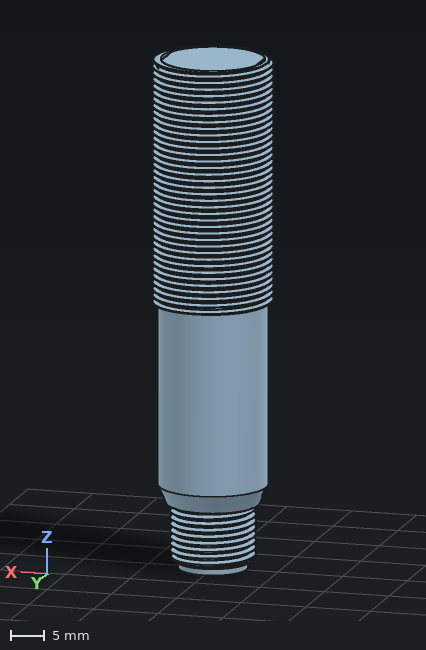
import cadquery as cq
import math

total_height = 77.83

body_radius = 8.25
shoulder_top = 12.8
shoulder_bottom = 9.95
shoulder_end_radius = 7.0

neck_radius = 6.2
neck_bottom = 9.6
stub_root_radius = 5.6
stub_crest_radius = 6.4
stub_chamfer_radius = 5.5
tip_radius = 5.2
tip_height = 1.05

pitch = 1.0
body_crest_width = 0.12
stub_crest_width = 0.03
root_width = 0.9
thread_embed = 0.1
thread_overrun = 4.0
envelope_margin = 0.5
body_thread_bottom = 40.7
body_thread_root_radius = 8.3
body_thread_crest_radius = 9.0
body_crest_below_top = 0.2
stub_crest_height = 8.65

lens_radius = 7.75
lens_recess = 0.1
lens_flat_distance = 7.2
lens_flat_depth = 0.5

adjuster_diameter = 3.3
adjuster_height = 17.75
adjuster_angle = -24.0
adjuster_depth = 2.0

indicator_diameter = 1.0
indicator_height = 11.95
indicator_floor_x = 7.3


def cylinder(radius, bottom, top):
    return cq.Workplane("XY").workplane(offset=bottom).circle(radius).extrude(top - bottom)


def helical_ridge(root_radius, crest_radius, crest_width, start, turns):
    """Trapezoidal ridge whose crest starts on the +X side at height `start`."""
    inner_radius = root_radius - thread_embed
    flank_slope = (root_width - crest_width) / (crest_radius - root_radius)
    inner_width = root_width + flank_slope * thread_embed
    corners = [
        (inner_radius, -inner_width / 2),
        (crest_radius, -crest_width / 2),
        (crest_radius, crest_width / 2),
        (inner_radius, inner_width / 2),
    ]
    helices = [
        cq.Wire.makeHelix(pitch, turns * pitch, radius, cq.Vector(0, 0, start + rise))
        for radius, rise in corners
    ]
    faces = [
        cq.Face.makeRuledSurface(helices[i], helices[(i + 1) % len(helices)])
        for i in range(len(helices))
    ]
    for height, angle in ((start, 0), (start + turns * pitch, 360 * turns)):
        outline = cq.Wire.makePolygon([cq.Vector(r, 0, height + rise) for r, rise in corners], close=True)
        faces.append(cq.Face.makeFromWires(outline).rotate(cq.Vector(), cq.Vector(0, 0, 1), angle))
    return cq.Workplane(cq.Solid.makeSolid(cq.Shell.makeShell(faces)))


def threaded_rod(root_radius, crest_radius, crest_width, crest_height, bottom, top):
    """Rod overrunning bottom and top, with one of its crests at `crest_height` on the +X side."""
    turns_below = math.ceil((crest_height - bottom) / pitch) + 1
    turns_above = math.ceil((top - crest_height) / pitch) + 1
    start = crest_height - turns_below * pitch
    ridge = helical_ridge(root_radius, crest_radius, crest_width, start, turns_below + turns_above)
    return cylinder(root_radius, bottom - thread_overrun, top + thread_overrun).union(ridge)


def revolve_profile(points):
    return cq.Workplane("XZ").polyline(points).close().revolve(360, (0, 0), (0, 1))


def make_body():
    """Plain body with its shoulder and the neck below it."""
    return revolve_profile([
        (0, neck_bottom),
        (neck_radius, neck_bottom),
        (neck_radius, shoulder_bottom),
        (shoulder_end_radius, shoulder_bottom),
        (body_radius, shoulder_top),
        (body_radius, body_thread_bottom),
        (0, body_thread_bottom),
    ])


def make_body_thread():
    """Upper threaded length, cut square at both ends."""
    rod = threaded_rod(
        body_thread_root_radius,
        body_thread_crest_radius,
        body_crest_width,
        total_height - body_crest_below_top,
        body_thread_bottom,
        total_height,
    )
    envelope_radius = body_thread_crest_radius + envelope_margin
    return rod.intersect(cylinder(envelope_radius, body_thread_bottom, total_height))


def make_stub():
    """Threaded connector stub with a 45 degree chamfer above its plain tip."""
    rod = threaded_rod(
        stub_root_radius,
        stub_crest_radius,
        stub_crest_width,
        stub_crest_height,
        tip_height,
        neck_bottom,
    )
    envelope_radius = stub_crest_radius + envelope_margin
    envelope = revolve_profile([
        (0, tip_height),
        (stub_chamfer_radius, tip_height),
        (envelope_radius, tip_height + envelope_radius - stub_chamfer_radius),
        (envelope_radius, neck_bottom),
        (0, neck_bottom),
    ])
    return rod.intersect(envelope).union(cylinder(tip_radius, 0, tip_height))


def cut_lens(part):
    """Slightly sunken round lens with a deeper gap outside each of its two flats."""
    recess = cylinder(lens_radius, total_height - lens_recess, total_height)
    lens_block = cq.Workplane("XY").box(2 * lens_flat_distance, 2 * body_radius, 2 * total_height)
    lens_block = lens_block.translate((0, 0, total_height))
    flat_gaps = cylinder(lens_radius, total_height - lens_flat_depth, total_height).cut(lens_block)
    return part.cut(recess).cut(flat_gaps)


def cut_adjuster(part):
    """Blind radial hole in the side of the body."""
    hole = (
        cq.Workplane("YZ")
        .workplane(offset=body_radius - adjuster_depth)
        .center(0, adjuster_height)
        .circle(adjuster_diameter / 2)
        .extrude(2 * adjuster_depth)
        .rotate((0, 0, 0), (0, 0, 1), adjuster_angle)
    )
    return part.cut(hole)


def cut_indicator(part):
    """Small flat-bottomed hole in the sloping shoulder."""
    hole = (
        cq.Workplane("YZ")
        .workplane(offset=-body_radius)
        .center(0, indicator_height)
        .circle(indicator_diameter / 2)
        .extrude(body_radius - indicator_floor_x)
    )
    return part.cut(hole)


result = make_body().union(make_body_thread()).union(make_stub())
result = cut_lens(result)
result = cut_adjuster(result)
result = cut_indicator(result)